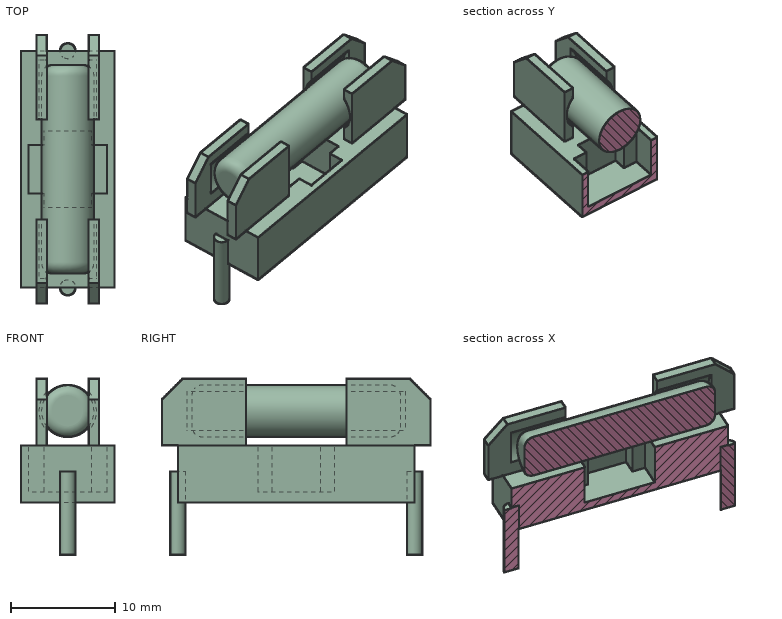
import cadquery as cq

BASE_WIDTH = 9.0
BASE_LENGTH = 22.7
BASE_HEIGHT = 5.5

POCKET_FLOOR = 1.0
ARM_SPAN = 7.5
ARM_LENGTH = 4.65
CORE_WIDTH = 4.52
CORE_LENGTH = 7.3

PIN_DIAMETER = 1.5
PIN_BOTTOM = -5.0
PIN_TOP = 3.0

FUSE_DIAMETER = 5.0
FUSE_LENGTH = 20.0
FUSE_END_FILLET = 1.0
FUSE_AXIS_Z = BASE_HEIGHT + 3.3

OVERALL_LENGTH = 25.8
CLIP_GAP = 4.0
CLIP_THICKNESS = 1.0
CLIP_LENGTH = 8.1
CLIP_HEIGHT = 6.4
CLIP_CHAMFER = 2.0
GROOVE_DIAMETER = 5.5
GROOVE_LENGTH = 21.0


def centred_box(width, length, height, bottom):
    """Box centred on the Z axis, standing on the given height."""
    return cq.Workplane("XY").workplane(offset=bottom).rect(width, length).extrude(height)


def make_pin(end):
    """Upright pin centred on the base end face at the -Y (-1) or +Y (+1) end."""
    return (
        cq.Workplane("XY", origin=(0, end * BASE_LENGTH / 2, PIN_BOTTOM))
        .circle(PIN_DIAMETER / 2)
        .extrude(PIN_TOP - PIN_BOTTOM)
    )


def fuse_cylinder(diameter, length):
    """Cylinder lying along the fuse axis, centred on Y = 0."""
    return (
        cq.Workplane("XZ", origin=(0, length / 2, FUSE_AXIS_Z))
        .circle(diameter / 2)
        .extrude(length)
    )


def make_base(pins):
    """Block with a cross-shaped pocket and a half-round seat for each pin."""
    pocket_depth = BASE_HEIGHT - POCKET_FLOOR
    base = centred_box(BASE_WIDTH, BASE_LENGTH, BASE_HEIGHT, 0)
    base = base.cut(centred_box(ARM_SPAN, ARM_LENGTH, pocket_depth, POCKET_FLOOR))
    base = base.cut(centred_box(CORE_WIDTH, CORE_LENGTH, pocket_depth, POCKET_FLOOR))
    for pin in pins:
        base = base.cut(pin)
    return base


def make_fuse():
    """Cylinder with rounded ends."""
    cylinder = fuse_cylinder(FUSE_DIAMETER, FUSE_LENGTH)
    return cylinder.faces("<Y or >Y").edges().fillet(FUSE_END_FILLET)


def make_clip(side, end):
    """Plate on one side (-1 or +1 in X) and one end (-1 or +1 in Y), grooved for the fuse."""
    outer_y = end * OVERALL_LENGTH / 2
    inner_y = outer_y - end * CLIP_LENGTH
    chamfer_y = outer_y - end * CLIP_CHAMFER
    top = BASE_HEIGHT + CLIP_HEIGHT
    inner_x = side * CLIP_GAP / 2
    plate = (
        cq.Workplane("YZ", origin=(inner_x, 0, 0))
        .moveTo(inner_y, BASE_HEIGHT)
        .lineTo(outer_y, BASE_HEIGHT)
        .lineTo(outer_y, top - CLIP_CHAMFER)
        .lineTo(chamfer_y, top)
        .lineTo(inner_y, top)
        .close()
        .extrude(side * CLIP_THICKNESS)
    )
    return plate.cut(fuse_cylinder(GROOVE_DIAMETER, GROOVE_LENGTH))


pins = [make_pin(end) for end in (-1, 1)]
base = make_base(pins)
fuse = make_fuse()
clips = [make_clip(side, end) for side in (-1, 1) for end in (-1, 1)]

bodies = [base, fuse, *clips, *pins]
result = cq.Compound.makeCompound([body.val() for body in bodies])